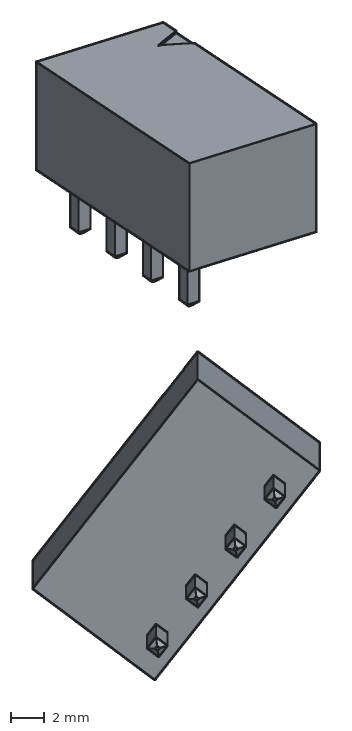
import cadquery as cq

HOUSING_LENGTH = 16.12
HOUSING_WIDTH = 9.15
HOUSING_HEIGHT = 7.2

PIN_COUNT = 4
PIN_PITCH = 3.82
PIN_SIZE = 0.87
PIN_LENGTH = 3.69
PIN_EDGE_DISTANCE = 1.6
TIP_CHAMFER = 0.34

MARK_WIDTH = 1.9
MARK_REACH = 1.92
MARK_DEPTH = 0.11

FIRST_PIN_X = -(PIN_COUNT - 1) * PIN_PITCH / 2
PIN_Y = PIN_EDGE_DISTANCE - HOUSING_WIDTH / 2


def make_housing():
    """Block with a triangular recess at the +Y edge of its top, in line with the first pin."""
    block = cq.Workplane("XY").box(
        HOUSING_LENGTH, HOUSING_WIDTH, HOUSING_HEIGHT, centered=(True, True, False)
    )
    back_y = HOUSING_WIDTH / 2
    mark = (
        cq.Workplane("XY")
        .workplane(offset=HOUSING_HEIGHT - MARK_DEPTH)
        .moveTo(FIRST_PIN_X - MARK_WIDTH / 2, back_y)
        .lineTo(FIRST_PIN_X + MARK_WIDTH / 2, back_y)
        .lineTo(FIRST_PIN_X, back_y - MARK_REACH)
        .close()
        .extrude(MARK_DEPTH)
    )
    return block.cut(mark)


def make_pin(x):
    """Square pin hanging from the housing underside, its lower end chamfered all round to a blunt tip."""
    pin = cq.Workplane("XY").rect(PIN_SIZE, PIN_SIZE).extrude(-PIN_LENGTH)
    return pin.faces("<Z").chamfer(TIP_CHAMFER).translate((x, PIN_Y, 0))


housing = make_housing()
pins = [make_pin(FIRST_PIN_X + index * PIN_PITCH) for index in range(PIN_COUNT)]

result = cq.Compound.makeCompound([housing.val(), *[pin.val() for pin in pins]])